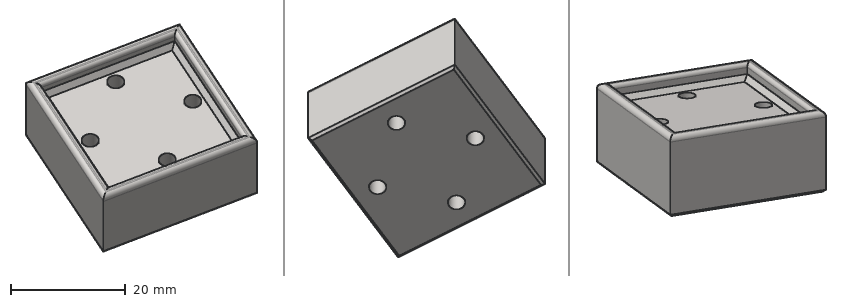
import cadquery as cq

side = 30.0
height = 15.0
outer_round = 1.0
base_chamfer = 0.5

wall = 2.0
inner_round = 0.75
rim_flat = wall - outer_round - inner_round
recess_depth = 3.0
floor_chamfer = 1.0
recess_side = side - 2 * wall

hole_diameter = 3.0
hole_offset = 10.0


def make_block():
    """Square block with a rounded top edge and a chamfered base."""
    block = cq.Workplane("XY").box(side, side, height, centered=(True, True, False))
    return block.faces(">Z").edges().fillet(outer_round).faces("<Z").edges().chamfer(base_chamfer)


def make_recess():
    """Solid to remove for the recess; its lower edges are chamfered."""
    recess = cq.Workplane("XY", origin=(0, 0, height - recess_depth)).rect(recess_side, recess_side)
    return recess.extrude(recess_depth).faces("<Z").edges().chamfer(floor_chamfer)


def make_holes():
    """Four cylinders crossing the full height of the block."""
    centers = [(hole_offset, 0), (0, hole_offset), (-hole_offset, 0), (0, -hole_offset)]
    return cq.Workplane("XY").pushPoints(centers).circle(hole_diameter / 2).extrude(height)


body = make_block().cut(make_recess())

mouth = recess_side / 2
rim_edges = cq.selectors.BoxSelector(
    (-mouth - rim_flat, -mouth - rim_flat, height - rim_flat),
    (mouth + rim_flat, mouth + rim_flat, height + rim_flat),
    boundingbox=True,
)
body = body.edges(rim_edges).fillet(inner_round)

result = body.cut(make_holes())